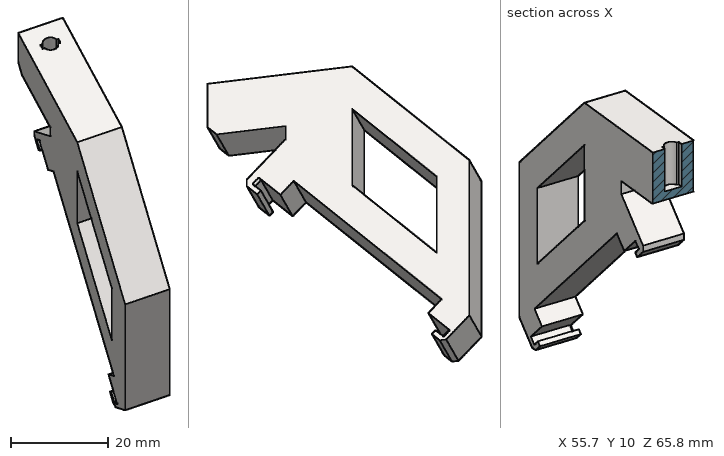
import cadquery as cq
import math

ROOT2 = math.sqrt(2)

width = 55.7
thickness = 10.0
height = 65.8

arm_height = 12.0
arm_tip_chamfer = 2.0
shoulder_x = 30.8
throat_x = 16.65

bar_width = 7.0
post_width = 7.0

upper_hook_back = 22.35
upper_wall = 2.25
lower_wall = 1.4
slot_length = 56.45
foot_length = 6.0
lip_length = 2.0
underside_out = -4.6
foot_height = 4.0
slot_width = 1.85
lip_thickness = 1.1
upper_hook_x = 8.35
mouth_chamfer = 0.5

hole_x = 5.2
hole_diameter = 3.3
hole_depth = 9.85
key_width = 1.05
key_span = 4.0

upper_floor = upper_hook_back + upper_wall
lower_floor = upper_floor + slot_length
lower_hook_back = lower_floor + lower_wall
upper_foot_end = upper_floor + foot_length
lower_foot_end = lower_floor - foot_length
foot_out = underside_out - foot_height
lip_inside_out = foot_out - slot_width
lip_outside_out = lip_inside_out - lip_thickness

throat_z = throat_x - ROOT2 * upper_hook_back


def clip_point(along, out):
    """X, Z of a point given in the turned clip axes."""
    return ((along + out) / ROOT2, (out - along) / ROOT2)


def make_plate():
    """The bracket outline with both hooks, extruded back from the front face."""
    outline = [
        (0, 0),
        (shoulder_x, 0),
        (width, shoulder_x - width),
        (width, width - ROOT2 * lower_hook_back),
        (ROOT2 * lower_hook_back - height, -height),
        (height + ROOT2 * lip_outside_out, -height),
        clip_point(lower_floor - lip_length, lip_outside_out),
        clip_point(lower_floor - lip_length, lip_inside_out),
        clip_point(lower_floor, lip_inside_out),
        clip_point(lower_floor, foot_out),
        clip_point(lower_foot_end, foot_out),
        clip_point(lower_foot_end, underside_out),
        clip_point(upper_foot_end, underside_out),
        clip_point(upper_foot_end, foot_out),
        clip_point(upper_floor, foot_out),
        clip_point(upper_floor, lip_inside_out),
        clip_point(upper_floor + lip_length, lip_inside_out),
        clip_point(upper_floor + lip_length, lip_outside_out),
        (upper_hook_x, ROOT2 * lip_outside_out - upper_hook_x),
        (upper_hook_x, upper_hook_x - ROOT2 * upper_hook_back),
        (throat_x, throat_z),
        (throat_x, -arm_height),
        (arm_tip_chamfer, -arm_height),
        (0, arm_tip_chamfer - arm_height),
    ]
    return cq.Workplane("XZ").polyline(outline).close().extrude(-thickness)


def make_window():
    """Four-sided opening whose sloping sides run parallel to the outline."""
    left = shoulder_x
    right = width - post_width
    top_offset = shoulder_x - ROOT2 * bar_width
    bottom_offset = ROOT2 * (underside_out + bar_width)
    corners = [
        (left, top_offset - left),
        (right, top_offset - right),
        (right, bottom_offset - right),
        (left, bottom_offset - left),
    ]
    return cq.Workplane("XZ").polyline(corners).close().extrude(-thickness)


def make_mouth_chamfer(floor, direction):
    """Wedge that widens a slot's floor toward the front face."""
    along = cq.Vector(direction / ROOT2, 0, -direction / ROOT2)
    start_x, start_z = clip_point(floor, lip_inside_out)
    corner = cq.Vector(start_x, 0, start_z)
    across = cq.Vector(slot_width / ROOT2, 0, slot_width / ROOT2)
    face = cq.Face.makeFromWires(cq.Wire.makePolygon(
        [corner, corner + along * mouth_chamfer, corner + cq.Vector(0, mouth_chamfer, 0)],
        close=True,
    ))
    return cq.Workplane(cq.Solid.extrudeLinear(face, across))


def make_hole():
    """Round hole with a key slot on the front and back sides."""
    top = cq.Workplane("XY").center(hole_x, thickness / 2)
    bore = top.circle(hole_diameter / 2).extrude(-hole_depth)
    keys = top.rect(key_width, key_span).extrude(-hole_depth)
    return bore.union(keys)


result = (
    make_plate()
    .cut(make_window())
    .cut(make_mouth_chamfer(upper_floor, -1))
    .cut(make_mouth_chamfer(lower_floor, 1))
    .cut(make_hole())
)